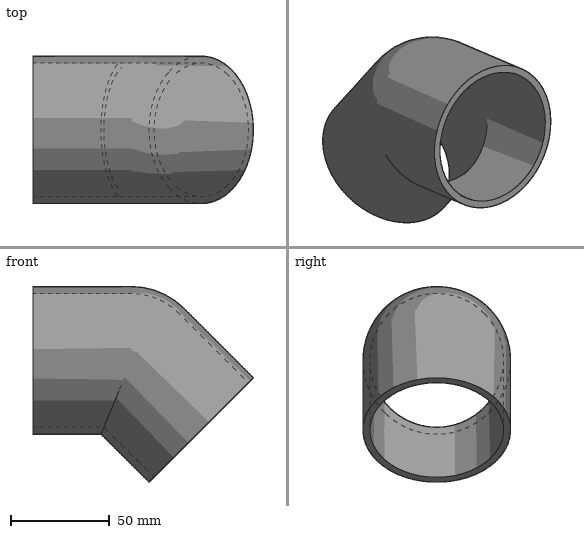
import cadquery as cq
import math

overall_length = 111.9
outer_diameter = 75.0
bore_diameter = 67.8
bend_angle = 45.0

outer_radius = outer_diameter / 2
bend = math.radians(bend_angle)
leg_length = (overall_length - outer_radius * math.sin(bend)) / (1 + math.cos(bend))

joint_centre = cq.Vector(0, 0, 0)
inlet_direction = cq.Vector(-1, 0, 0)
outlet_direction = cq.Vector(math.cos(bend), 0, -math.sin(bend))


def leg(radius, direction):
    """Cylinder from the joint centre to one open end."""
    return cq.Workplane(cq.Solid.makeCylinder(radius, leg_length, joint_centre, direction))


def elbow_body(radius):
    """Two solid legs meeting in a ball of the same radius."""
    ball = cq.Workplane("XY").sphere(radius)
    return leg(radius, inlet_direction).union(leg(radius, outlet_direction)).union(ball)


outer_body = elbow_body(outer_radius)
bore = elbow_body(bore_diameter / 2)
result = outer_body.cut(bore)